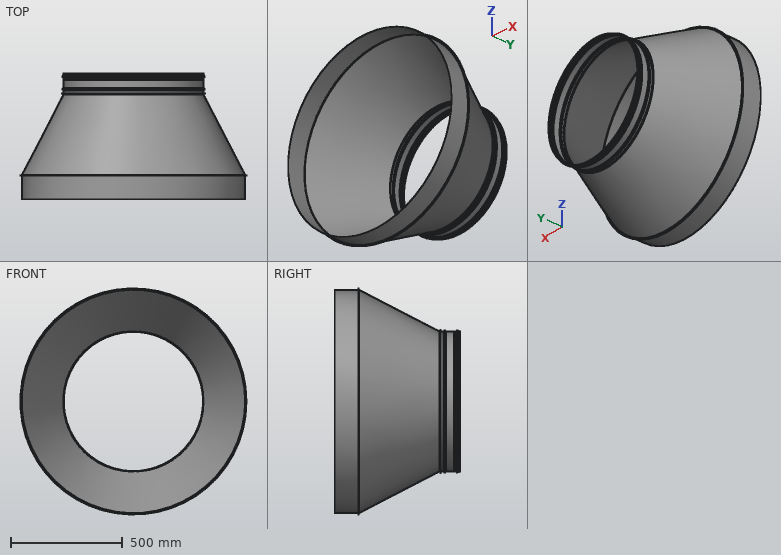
import cadquery as cq


overall_length = 564.46
sheet = 0.5

narrow_radius = 628.7 / 2
narrow_length = 90.0
groove_radius = 623.9 / 2
groove_start = 24.5
groove_width = 6.5
bead_radius = 639.1 / 2
bead_start = 64.5
bead_width = 12.0
bead_flank = 4.0

wide_radius = 1001.1 / 2
wide_length = 108.0

narrow_seam_radius = 642.65 / 2
wide_seam_radius = 1015.0 / 2
wide_hem_radius = 1012.3 / 2
hem_thickness = wide_seam_radius - wide_hem_radius
narrow_hem_radius = narrow_seam_radius - hem_thickness
seam_layer = 1.2
narrow_neck = 4.5
wide_neck = 2.8

seat_radius = groove_radius
seat_flank = narrow_radius - seat_radius
seat_start = 2.0
seat_width = 14.0
lip_radius = 639.1 / 2
ridge_radius = 634.1 / 2
ridge_start = 8.5
ridge_width = 5.5
lip_thickness = 1.0

narrow_end = overall_length
narrow_seam = narrow_end - narrow_length
wide_seam = wide_length
seat_top = narrow_end - seat_start
seat_bottom = seat_top - seat_width
seat_floor_top = seat_top - seat_flank
seat_floor_bottom = seat_bottom + seat_flank


def revolve_around_axis(profile):
    """Turn a closed (radius, y) profile into a solid of revolution."""
    return profile.close().revolve(360, (0, 0, 0), (0, 1, 0))


def ring(outer, inner, y_low, y_high):
    """Plain rectangular ring around the Y axis."""
    profile = cq.Workplane("XY").moveTo(inner, y_low).lineTo(outer, y_low)
    return revolve_around_axis(profile.lineTo(outer, y_high).lineTo(inner, y_high))


def make_narrow_collar():
    """Thin tube with a seal recess, an inward groove, an outward stop bead and a seam flange."""
    outer = narrow_radius
    inner = narrow_radius - sheet
    groove_top = narrow_end - groove_start
    groove_bottom = groove_top - groove_width
    groove_middle = (groove_top + groove_bottom) / 2
    bead_top = narrow_end - bead_start
    bead_bottom = bead_top - bead_width
    crown_top = bead_top - bead_flank
    crown_bottom = bead_bottom + bead_flank
    crown_middle = (crown_top + crown_bottom) / 2
    shoulder = bead_radius - (crown_top - crown_bottom) / 2
    profile = (
        cq.Workplane("XY")
        .moveTo(outer, narrow_end)
        .lineTo(outer, seat_top)
        .lineTo(seat_radius, seat_floor_top)
        .lineTo(seat_radius, seat_floor_bottom)
        .lineTo(outer, seat_bottom)
        .lineTo(outer, groove_top)
        .threePointArc((groove_radius, groove_middle), (outer, groove_bottom))
        .lineTo(outer, bead_top)
        .lineTo(shoulder, crown_top)
        .threePointArc((bead_radius, crown_middle), (shoulder, crown_bottom))
        .lineTo(outer, bead_bottom)
        .lineTo(outer, narrow_seam)
        .lineTo(inner, narrow_seam)
        .lineTo(inner, bead_bottom)
        .lineTo(shoulder - sheet, crown_bottom)
        .threePointArc((bead_radius - sheet, crown_middle), (shoulder - sheet, crown_top))
        .lineTo(inner, bead_top)
        .lineTo(inner, groove_bottom)
        .threePointArc((groove_radius - sheet, groove_middle), (inner, groove_top))
        .lineTo(inner, seat_bottom)
        .lineTo(seat_radius - sheet, seat_floor_bottom)
        .lineTo(seat_radius - sheet, seat_floor_top)
        .lineTo(inner, seat_top)
        .lineTo(inner, narrow_end)
    )
    flange = ring(narrow_hem_radius, inner, narrow_seam, narrow_seam + seam_layer)
    return revolve_around_axis(profile).union(flange)


def make_wide_collar():
    """Thin tube with a seam flange at its cone end."""
    inner = wide_radius - sheet
    flange = ring(wide_hem_radius, inner, wide_seam - seam_layer, wide_seam)
    return ring(wide_radius, inner, 0, wide_seam).union(flange)


def make_cone():
    """Thin cone with a short neck and a flange at each end that hooks over the collar flange."""
    low = wide_seam + wide_neck
    high = narrow_seam - narrow_neck
    profile = (
        cq.Workplane("XY")
        .moveTo(wide_radius, wide_seam)
        .lineTo(wide_radius, low)
        .lineTo(narrow_radius, high)
        .lineTo(narrow_radius, narrow_seam)
        .lineTo(narrow_radius - sheet, narrow_seam)
        .lineTo(narrow_radius - sheet, high)
        .lineTo(wide_radius - sheet, low)
        .lineTo(wide_radius - sheet, wide_seam)
    )
    cone = revolve_around_axis(profile)
    cone = cone.union(ring(wide_seam_radius, wide_radius - sheet, wide_seam, wide_seam + seam_layer))
    cone = cone.union(ring(wide_seam_radius, wide_hem_radius, wide_seam - seam_layer, wide_seam))
    cone = cone.union(ring(narrow_seam_radius, narrow_radius - sheet, narrow_seam - seam_layer, narrow_seam))
    return cone.union(ring(narrow_seam_radius, narrow_hem_radius, narrow_seam, narrow_seam + seam_layer))


def make_seal():
    """Rubber band that fills the recess, with a ridge whose lip leans away from the narrow end."""
    ridge_top = narrow_end - ridge_start
    ridge_bottom = ridge_top - ridge_width
    profile = (
        cq.Workplane("XY")
        .moveTo(seat_radius, seat_floor_top)
        .lineTo(narrow_radius, seat_top)
        .lineTo(narrow_radius, ridge_top)
        .lineTo(ridge_radius, ridge_top)
        .lineTo(lip_radius, seat_bottom + lip_thickness)
        .lineTo(lip_radius, seat_bottom)
        .lineTo(ridge_radius, ridge_bottom)
        .lineTo(narrow_radius, ridge_bottom)
        .lineTo(narrow_radius, seat_bottom)
        .lineTo(seat_radius, seat_floor_bottom)
    )
    return revolve_around_axis(profile)


narrow_collar = make_narrow_collar()
cone = make_cone()
wide_collar = make_wide_collar()
seal = make_seal()

result = cq.Compound.makeCompound(
    [narrow_collar.val(), cone.val(), wide_collar.val(), seal.val()]
)